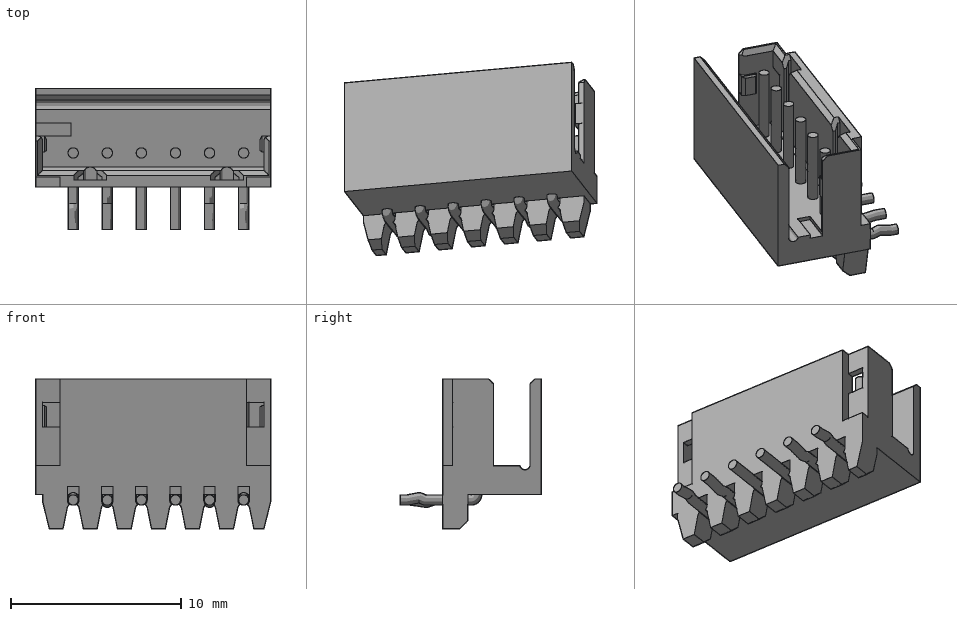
import cadquery as cq
import math


body_length = 13.8
body_depth = 5.8
body_height = 6.79
floor_height = 1.7
half_length = body_length / 2

back_wall = 0.68
front_wall = 0.98
side_wall = 0.4
side_wall_end = 3.0
lead_in = 0.29
wall_end_radius = 0.29
front_floor_slope = 0.2
groove_width = 0.58
groove_depth = 0.23

pocket_length = 2.08
pocket_width = 0.77
pocket_depth = 0.22

notch_width = 1.44
notch_depth = 0.58
window_bottom = 3.97
window_top = 5.41
latch_start = 2.05
latch_top = 5.23
latch_height = 0.22
latch_chamfer = 0.1
latch_end_taper = 0.2

keyway_positions = (-3.7, 4.32)
keyway_back = 0.41
keyway_half_width = 0.4
funnel_half_width = 0.97
dovetail_half_width = 0.7
dovetail_straight_end = 0.57
dovetail_neck = 0.81

pin_count = 6
pin_pitch = 2.0
pin_row_offset = 0.3
pin_radius = 0.3
pin_row_depth = 2.0
pin_top = 5.86
pin_reach = 2.5
kink_height = 0.14
upward_kink = (1.02, 1.37, 2.1)
downward_kink = (0.54, 0.95, 1.88)
pin_axis_height = -0.32
bend_radius = 0.33
pin_positions = [pin_row_offset + (i - (pin_count - 1) / 2) * pin_pitch for i in range(pin_count)]

rib_depth = 1.48
rib_height = 2.01
rib_chamfer = 0.48
rib_left_setback = 0.4
tooth_shoulder = 0.4
tooth_taper = 0.4

slot_half_width = 0.33
slot_top = 0.48
neck_half_width = 0.21
gap_shoulder_half_width = 0.35
gap_shoulder_height = -0.79
gap_mouth_half_width = 0.6


def box(x0, x1, y0, y1, z0, z1):
    """Block between two opposite corners."""
    return cq.Workplane("XY").box(x1 - x0, y1 - y0, z1 - z0, centered=False).translate((x0, y0, z0))


def mirrored_pair(solid):
    """A solid together with its mirror image across the plane X = 0."""
    return solid.union(solid.mirror("YZ"))


def make_channel_body():
    """Full-length section: back wall, grooved floor and the full-height front block with its end chamfer."""
    wall_face = body_depth - back_wall
    section = (
        cq.Workplane("YZ")
        .moveTo(0, 0)
        .lineTo(body_depth, 0)
        .lineTo(body_depth, body_height)
        .lineTo(wall_face + lead_in, body_height)
        .lineTo(wall_face, body_height - lead_in)
        .lineTo(wall_face, floor_height)
        .threePointArc(
            (wall_face - groove_width / 2, floor_height - groove_depth),
            (wall_face - groove_width, floor_height),
        )
        .lineTo(side_wall_end, floor_height)
        .lineTo(side_wall_end, body_height - lead_in)
        .lineTo(side_wall_end - lead_in, body_height)
        .lineTo(0, body_height)
        .close()
    )
    return section.extrude(half_length, both=True)


def make_cavity():
    """Space between the front and side walls, flared at the top and sloped at the front of the floor."""
    half_width = half_length - side_wall
    cavity = box(-half_width, half_width, front_wall, side_wall_end, floor_height, body_height)
    slope = (
        cq.Workplane("YZ")
        .moveTo(front_wall, floor_height)
        .lineTo(front_wall + front_floor_slope, floor_height)
        .lineTo(front_wall, floor_height + front_floor_slope)
        .close()
        .extrude(half_width, both=True)
    )
    top_half_width = half_width + lead_in
    top_front = front_wall - lead_in
    flare_end = side_wall_end + lead_in
    flare = (
        cq.Workplane("XY", origin=(0, (top_front + flare_end) / 2, body_height))
        .rect(2 * top_half_width, flare_end - top_front)
        .workplane(offset=-lead_in)
        .center(0, lead_in / 2)
        .rect(2 * half_width, flare_end - front_wall)
        .loft(ruled=True)
    )
    corner = (
        cq.Workplane("XY", origin=(0, 0, floor_height))
        .moveTo(half_width, side_wall_end)
        .lineTo(half_width, side_wall_end - wall_end_radius)
        .radiusArc((half_width + wall_end_radius, side_wall_end), wall_end_radius)
        .close()
        .extrude(body_height - floor_height)
    )
    return cavity.cut(slope).union(flare).union(mirrored_pair(corner))


def make_notch():
    """Front corner notch on the +X side with the window through to the cavity."""
    inner = half_length - notch_width
    notch = box(inner, half_length, 0, notch_depth, floor_height, body_height)
    window = box(inner, half_length - side_wall, 0, front_wall, window_bottom, window_top)
    return notch.union(window)


def make_latch():
    """Latch bump on the inner face of the +X side wall."""
    wall_face = half_length - side_wall
    root = wall_face + wall_end_radius
    tip = wall_face - latch_height
    bump = (
        cq.Workplane("XY", origin=(0, 0, window_bottom))
        .polyline([
            (root, latch_start),
            (tip + latch_chamfer, latch_start),
            (tip, latch_start + latch_chamfer),
            (tip, side_wall_end - latch_end_taper),
            (tip + latch_chamfer, side_wall_end),
            (root, side_wall_end),
        ])
        .close()
        .extrude(latch_top - window_bottom)
    )
    return bump.faces("<X").edges(">Z").chamfer(latch_chamfer)


def make_keyway():
    """Keyway centred on X = 0: dovetail slot with a funnel at the top and a round trough at the bottom."""
    trough_center = floor_height + keyway_half_width
    trough_length = front_wall + front_floor_slope - keyway_back
    dovetail = (
        cq.Workplane("XY", origin=(0, 0, trough_center))
        .polyline([
            (-dovetail_half_width, keyway_back),
            (dovetail_half_width, keyway_back),
            (dovetail_half_width, dovetail_straight_end),
            (keyway_half_width, dovetail_neck),
            (keyway_half_width, front_wall),
            (-keyway_half_width, front_wall),
            (-keyway_half_width, dovetail_neck),
            (-dovetail_half_width, dovetail_straight_end),
        ])
        .close()
        .extrude(body_height - trough_center)
    )
    trough = (
        cq.Workplane("XZ", origin=(0, keyway_back, trough_center))
        .circle(keyway_half_width)
        .extrude(-trough_length)
    )
    funnel_bottom = body_height - (funnel_half_width - keyway_half_width)
    funnel = (
        cq.Workplane("XZ", origin=(0, keyway_back, 0))
        .polyline([
            (-funnel_half_width, body_height),
            (funnel_half_width, body_height),
            (keyway_half_width, funnel_bottom),
            (-keyway_half_width, funnel_bottom),
        ])
        .close()
        .extrude(keyway_back - front_wall)
    )
    return dovetail.union(trough).union(funnel)


def make_rib():
    """Rib under the front edge, tapered at both ends and chamfered along its lower back edge."""
    left = -half_length + rib_left_setback
    rib = (
        cq.Workplane("XZ")
        .polyline([
            (left, 0),
            (left, -tooth_shoulder),
            (left + tooth_taper, -rib_height),
            (half_length - tooth_taper, -rib_height),
            (half_length, -tooth_shoulder),
            (half_length, 0),
        ])
        .close()
        .extrude(-rib_depth)
    )
    return rib.edges(">Y and <Z").chamfer(rib_chamfer)


def make_pin_gap():
    """Gap centred on X = 0: square-topped slot, round pin seat, narrow neck and flared mouth."""
    neck_drop = math.sqrt(slot_half_width**2 - neck_half_width**2)
    seat_diagonal = slot_half_width * math.sqrt(0.5)
    half_gap = (
        cq.Workplane("XZ")
        .moveTo(0, -rib_height)
        .lineTo(gap_mouth_half_width, -rib_height)
        .lineTo(gap_shoulder_half_width, gap_shoulder_height)
        .tangentArcPoint((neck_half_width, pin_axis_height - neck_drop), relative=False)
        .threePointArc(
            (seat_diagonal, pin_axis_height - seat_diagonal),
            (slot_half_width, pin_axis_height),
        )
        .lineTo(slot_half_width, slot_top)
        .lineTo(0, slot_top)
        .close()
        .extrude(-rib_depth)
    )
    return mirrored_pair(half_gap)


def make_pin(kink, kink_offset):
    """Bent pin centred on X = 0; its tail runs forward and may be kinked up or down."""
    bend_start = pin_row_depth - bend_radius
    post_bottom = pin_axis_height + bend_radius
    post = (
        cq.Workplane("XY", origin=(0, pin_row_depth, post_bottom))
        .circle(pin_radius)
        .extrude(pin_top - post_bottom)
    )
    elbow = (
        cq.Workplane("XY", origin=(0, pin_row_depth, post_bottom))
        .circle(pin_radius)
        .revolve(90, (0.14, -bend_radius), (-0.14, -bend_radius))
    )
    tail_path = cq.Workplane("YZ").moveTo(bend_start, pin_axis_height)
    if kink:
        start, crest, end = kink
        tail_path = (
            tail_path
            .lineTo(-start, pin_axis_height)
            .lineTo(-crest, pin_axis_height + kink_offset)
            .lineTo(-end, pin_axis_height)
        )
    tail_path = tail_path.lineTo(-pin_reach, pin_axis_height)
    tail = (
        cq.Workplane("XZ", origin=(0, bend_start, pin_axis_height))
        .circle(pin_radius)
        .sweep(tail_path, transition="round")
    )
    return post.union(elbow).union(tail)


result = make_channel_body().cut(make_cavity())
result = result.cut(mirrored_pair(make_notch()))
result = result.union(mirrored_pair(make_latch()))
result = result.cut(box(
    -half_length, -half_length + pocket_length,
    side_wall_end, side_wall_end + pocket_width,
    floor_height - pocket_depth, floor_height,
))
for x in keyway_positions:
    result = result.cut(make_keyway().translate((x, 0, 0)))

result = result.union(make_rib())
for x in pin_positions:
    result = result.cut(make_pin_gap().translate((x, 0, 0)))

for index, x in enumerate(pin_positions):
    places_from_end = min(index, pin_count - 1 - index)
    if places_from_end == 0:
        pin = make_pin(upward_kink, kink_height)
    elif places_from_end == 1:
        pin = make_pin(downward_kink, -kink_height)
    else:
        pin = make_pin(None, 0)
    result = result.union(pin.translate((x, 0, 0)))